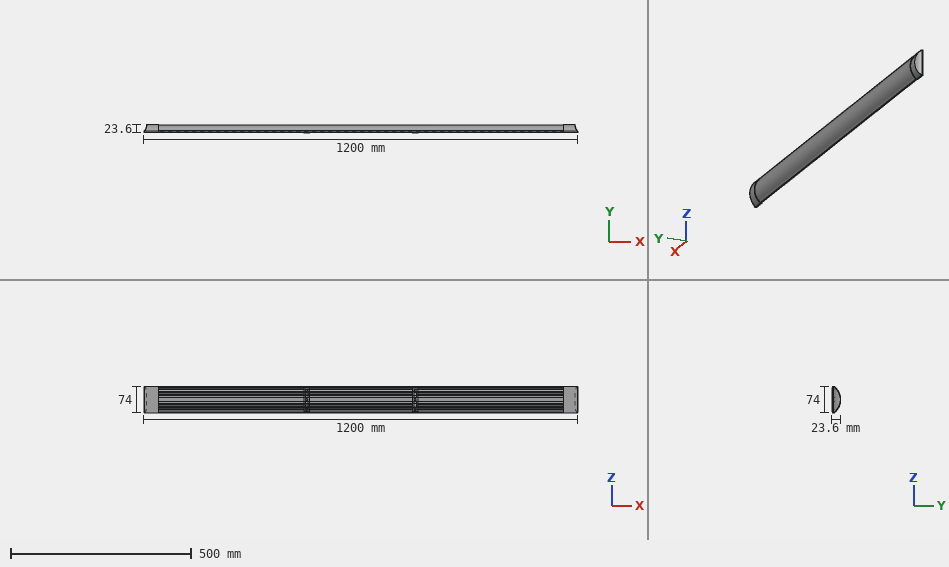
import cadquery as cq
import math

total_length = 1200.0
total_depth = 23.56
total_height = 74.0

back_y = total_depth / 2
clip_front_y = -total_depth / 2
clip_thickness = 1.1
front_y = clip_front_y + clip_thickness

cap_length = 40.0
cap_dome_radius = 46.0
cap_corner_radius = 3.0
flange_thickness = 3.2
end_wall_lean = 7.0
end_wall_waist = 5.0
dome_center_y = back_y - cap_dome_radius
dome_edge_y = dome_center_y + math.sqrt(cap_dome_radius**2 - (total_height / 2) ** 2)

cap_wall = 1.5
housing_length = total_length - 2 * cap_length
housing_dome_radius = cap_dome_radius - cap_wall
dome_foot_y = -3.0
dome_foot_z = math.sqrt(housing_dome_radius**2 - (dome_foot_y - dome_center_y) ** 2)
base_half_height = 36.2
base_shoulder_y = -5.5
base_bevel = 1.2

vee_outer_z = 32.0
vee_depth = 4.4
vee_bottom_z = vee_outer_z - vee_depth
ridge_outer_z = vee_bottom_z - vee_depth
ridge_width = 2.4
ridge_inner_z = ridge_outer_z - ridge_width
channel_depth = 3.0
channel_floor_width = 3.8
channel_inner_z = ridge_inner_z - 2 * channel_depth - channel_floor_width
slot_half_width = 5.5
slot_depth = 5.0

clip_spacing = 300.0
clip_width = 15.0
clip_height = 65.0
screw_hole_diameter = 6.0
screw_hole_pitch = 25.3
recess_width = 7.6
recess_height = 14.6
recess_center_z = 12.7
recess_depth = clip_thickness / 2


def mirrored_path(upper_half):
    """Extend a list of (y, z) points ending near the middle with its mirror image."""
    return upper_half + [(y, -z) for y, z in reversed(upper_half)]


def make_profile_bar(length):
    """Grooved base and domed back as one bar along X."""
    channel_floor_y = front_y + channel_depth
    upper_half = [
        (dome_foot_y, dome_foot_z),
        (base_shoulder_y, base_half_height),
        (front_y + base_bevel, base_half_height),
        (front_y, base_half_height - base_bevel),
        (front_y, vee_outer_z),
        (front_y + vee_depth, vee_bottom_z),
        (front_y, ridge_outer_z),
        (front_y, ridge_inner_z),
        (channel_floor_y, ridge_inner_z - channel_depth),
        (channel_floor_y, channel_inner_z + channel_depth),
        (front_y, channel_inner_z),
        (front_y, slot_half_width),
        (front_y + slot_depth, slot_half_width),
    ]
    dome_top = (dome_center_y + housing_dome_radius, 0)
    return (
        cq.Workplane("YZ")
        .polyline(mirrored_path(upper_half))
        .threePointArc(dome_top, upper_half[0])
        .close()
        .extrude(length / 2, both=True)
    )


def make_clip(center_x):
    """Flat mounting clip with three screw holes and two shallow recesses in its front."""
    plate = (
        cq.Workplane("XZ", origin=(center_x, front_y, 0))
        .rect(clip_width, clip_height)
        .extrude(clip_thickness)
    )
    screw_points = [(0, step * screw_hole_pitch) for step in (-1, 0, 1)]
    recess_points = [(0, side * recess_center_z) for side in (-1, 1)]
    holes = (
        cq.Workplane("XZ", origin=(center_x, front_y, 0))
        .pushPoints(screw_points)
        .circle(screw_hole_diameter / 2)
        .extrude(clip_thickness)
    )
    recesses = (
        cq.Workplane("XZ", origin=(center_x, clip_front_y + recess_depth, 0))
        .pushPoints(recess_points)
        .rect(recess_width, recess_height)
        .extrude(recess_depth)
    )
    return plate.cut(holes).cut(recesses)


def make_housing():
    """Profile bar with the two clips on its front ridges."""
    housing = make_profile_bar(housing_length)
    for side in (-1, 1):
        housing = housing.union(make_clip(side * clip_spacing / 2))
    return housing


def make_end_cap(side):
    """End cap at the -X (side = -1) or +X (side = 1) end."""
    end_x = total_length / 2
    inner_x = end_x - cap_length
    half_height = total_height / 2
    flange_y = front_y + flange_thickness

    dome = (
        cq.Workplane("YZ", origin=(inner_x, 0, 0))
        .moveTo(dome_edge_y, half_height)
        .lineTo(front_y, half_height)
        .lineTo(front_y, -half_height)
        .lineTo(dome_edge_y, -half_height)
        .threePointArc((back_y, 0), (dome_edge_y, half_height))
        .close()
        .extrude(cap_length)
    )
    end_outline = (
        cq.Workplane("XY")
        .moveTo(inner_x, front_y)
        .lineTo(end_x, front_y)
        .lineTo(end_x, flange_y)
        .threePointArc((end_x - end_wall_waist, 0), (end_x - end_wall_lean, back_y))
        .lineTo(inner_x, back_y)
        .close()
        .extrude(half_height, both=True)
    )
    rounded_corners = (
        cq.Workplane("XZ", origin=(end_x - cap_length / 2, back_y, 0))
        .rect(cap_length, total_height)
        .extrude(total_depth)
        .edges("|Y and >X")
        .fillet(cap_corner_radius)
    )
    cap = dome.intersect(end_outline).intersect(rounded_corners)
    if side < 0:
        cap = cap.mirror("YZ")
    return cap


housing = make_housing()
end_caps = [make_end_cap(side) for side in (-1, 1)]

result = cq.Compound.makeCompound([housing.val(), *[cap.val() for cap in end_caps]])